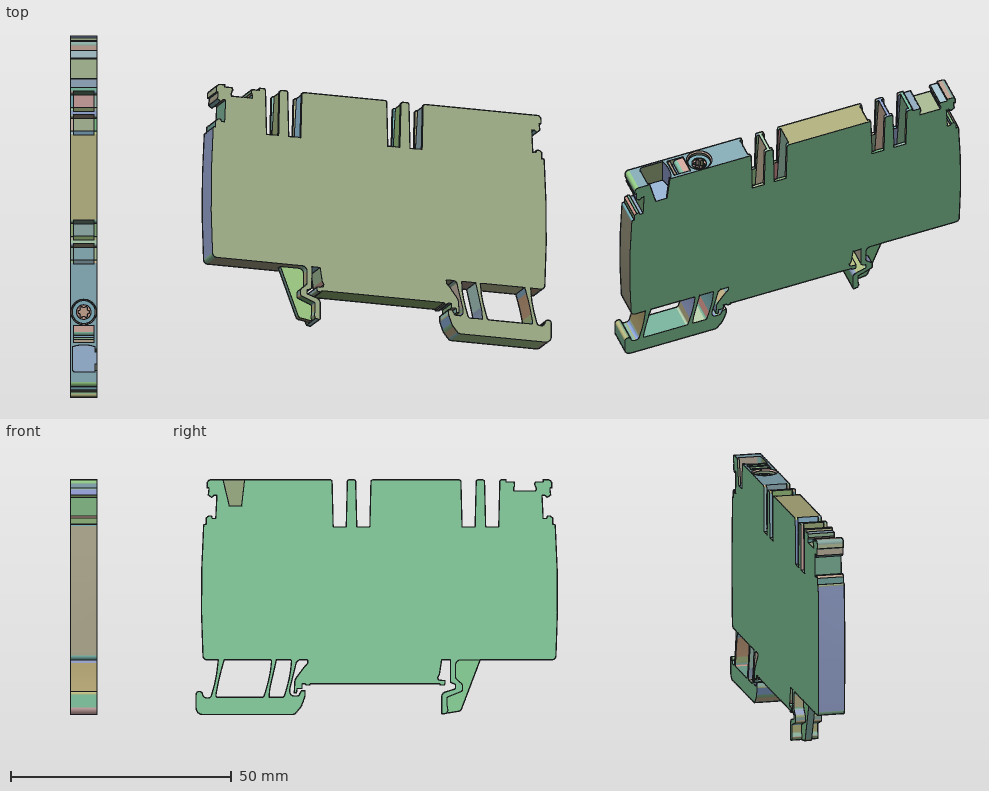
import cadquery as cq
import math


THICKNESS = 6.1
HEIGHT = 53.13
BOTTOM = 12.37
ROOT = 0.5

END_REACH = 40.3
END_BULGE_Z = 26.3
END_TOP = (39.8, 42.6)
END_FOOT = (39.95, 13.3)
PLATE_CORNER = 0.93
HOOK_ROUND = 0.9
STEP_Z = 43.0
STEP_Y = 39.2

SLOT_FLOOR = 42.47
FIRST_FIN_Y = 22.83
FIN_SPACING = 29.15
SLOT_OFFSET = 2.67
SLOT_FLOOR_WIDTH = 2.9
SLOT_TOP_WIDTH = 3.4
SLOT_LIP_RADIUS = 0.5
CHEEK = 0.69
POCKET_FLOOR = 37.0
POCKET_FLOOR_WIDTH = 2.75
POCKET_TOP_WIDTH = 4.6

SHELF_Z = HEIGHT - 0.5
GROOVE_FLOOR = HEIGHT - 2.5

LEVER_THICKNESS = 1.5

SCREW_Y = -22.19
SCREW_MOUTH_RADIUS = 2.9
SCREW_BORE_RADIUS = 2.6
SCREW_CONE_DEPTH = 0.4
SCREW_HEAD_DEPTH = 1.0
DRIVE_RIM_RADIUS = 1.65
DRIVE_RIM_DEPTH = 0.3
DRIVE_CORE_RADIUS = 1.0
DRIVE_LOBE_RADIUS = 0.35
DRIVE_LOBES = 6
DRIVE_DEPTH = 2.0

PUSHER_WIDTH = 4.65
PUSHER_Y = (-29.1, -25.2)
PUSHER_DEPTH = 0.3
PUSHER_ROUND_START = -26.75
PUSHER_ROUND_RADIUS = 0.75
PUSHER_TROUGH_FLOOR = HEIGHT - 1.5
PUSHER_TROUGH_WIDTH = 0.5
PUSHER_TROUGH_END = -28.35

ENTRY_HALF_WIDTH = 2.59
ENTRY_BACK = -35.8
ENTRY_SHOULDER = -30.05
ENTRY_CROWN = -29.6
ENTRY_DEPTH = 6.0
ENTRY_CORNER = 0.8
ENTRY_WINDOW_TOP = (-35.4, -30.5)
ENTRY_WINDOW_FLOOR = (-33.95, -31.2)


def rounded_outline(points):
    """Closed wire in the YZ plane through (y, z) or (y, z, corner radius) points."""
    ends = []
    count = len(points)
    for i in range(count):
        corner = cq.Vector(*points[i][:2])
        radius = points[i][2] if len(points[i]) == 3 else 0
        if not radius:
            ends.append((corner,))
            continue
        back = (cq.Vector(*points[i - 1][:2]) - corner).normalized()
        ahead = (cq.Vector(*points[(i + 1) % count][:2]) - corner).normalized()
        half_angle = back.getAngle(ahead) / 2
        reach = radius / math.tan(half_angle)
        middle = corner + (back + ahead).normalized() * (radius / math.sin(half_angle) - radius)
        ends.append((corner + back * reach, middle, corner + ahead * reach))
    sketch = cq.Workplane("YZ").moveTo(ends[0][-1].x, ends[0][-1].y)
    for corner in ends[1:] + ends[:1]:
        sketch = sketch.lineTo(corner[0].x, corner[0].y)
        if len(corner) == 3:
            sketch = sketch.threePointArc((corner[1].x, corner[1].y), (corner[2].x, corner[2].y))
    return sketch.close()


def slab(points, thickness=THICKNESS):
    """Plate with the given outline, centred through the thickness."""
    return rounded_outline(points).extrude(thickness / 2, both=True)




def half_plate():
    """The -Y half of the main plate, with its hook at the top corner."""
    hook_reach = 39.0
    hook = [
        (hook_reach, 51.3),
        (38.6, 51.3),
        (38.6, 50.9),
        (38.75, 49.7),
        (37.95, 49.1),
        (37.4, 49.6),
        (36.8, 49.6),
        (37.05, 44.4),
        (37.8, 44.4),
        (38.0, 44.95),
        (38.6, 44.95),
        (STEP_Y, 44.5),
        (STEP_Y, STEP_Z),
    ]
    outline = (
        cq.Workplane("YZ")
        .moveTo(0, BOTTOM)
        .lineTo(0, HEIGHT)
        .lineTo(HOOK_ROUND - hook_reach, HEIGHT)
        .radiusArc((-hook_reach, HEIGHT - HOOK_ROUND), -HOOK_ROUND)
    )
    for y, z in hook:
        outline = outline.lineTo(-y, z)
    return (
        outline.radiusArc((-END_TOP[0], END_TOP[1]), -(STEP_Z - END_TOP[1]))
        .threePointArc((-END_REACH, END_BULGE_Z), (-END_FOOT[0], END_FOOT[1]))
        .tangentArcPoint((PLATE_CORNER - END_FOOT[0], BOTTOM), relative=False)
        .close()
        .extrude(THICKNESS / 2, both=True)
    )


def marker_groove():
    """Shallow shelf with an undercut channel below it."""
    shelf_back = 28.65
    shelf_front = 37.0
    over = HEIGHT + 1
    return slab(
        [
            (shelf_front, over),
            (shelf_front, SHELF_Z),
            (35.25, SHELF_Z),
            (35.05, 52.1),
            (35.5, 51.1),
            (35.3, GROOVE_FLOOR),
            (30.4, GROOVE_FLOOR),
            (30.4, 51.4),
            (30.6, 51.8),
            (30.5, SHELF_Z),
            (shelf_back, SHELF_Z),
            (shelf_back, over),
        ]
    )


def plug_slot(y):
    """Drafted slot with rounded lips, widening into a pocket between its two cheeks."""
    floor_half = SLOT_FLOOR_WIDTH / 2
    top_half = SLOT_TOP_WIDTH / 2
    lip_half = top_half + SLOT_LIP_RADIUS
    lip_z = HEIGHT - SLOT_LIP_RADIUS
    arc_shift = SLOT_LIP_RADIUS * math.sqrt(0.5)
    slot = (
        cq.Workplane("YZ")
        .moveTo(-floor_half, SLOT_FLOOR)
        .lineTo(floor_half, SLOT_FLOOR)
        .lineTo(top_half, lip_z)
        .threePointArc((lip_half - arc_shift, lip_z + arc_shift), (lip_half, HEIGHT))
        .lineTo(-lip_half, HEIGHT)
        .threePointArc((arc_shift - lip_half, lip_z + arc_shift), (-top_half, lip_z))
        .close()
        .extrude(THICKNESS / 2, both=True)
    )
    pocket = slab(
        [
            (-POCKET_FLOOR_WIDTH / 2, POCKET_FLOOR),
            (POCKET_FLOOR_WIDTH / 2, POCKET_FLOOR),
            (POCKET_TOP_WIDTH / 2, HEIGHT),
            (-POCKET_TOP_WIDTH / 2, HEIGHT),
        ],
        THICKNESS - 2 * CHEEK,
    )
    return slot.union(pocket).translate((0, y, 0))




def screw_recess():
    """Countersunk bore over a flat screw head with a lobed drive."""
    top = cq.Workplane("XY").workplane(offset=HEIGHT)
    head_z = HEIGHT - SCREW_HEAD_DEPTH
    head = cq.Workplane("XY").workplane(offset=head_z)
    cone = cq.Workplane(
        cq.Solid.makeCone(
            SCREW_BORE_RADIUS,
            SCREW_MOUTH_RADIUS,
            SCREW_CONE_DEPTH,
            pnt=cq.Vector(0, 0, HEIGHT - SCREW_CONE_DEPTH),
        )
    )
    bore = top.circle(SCREW_BORE_RADIUS).extrude(-SCREW_HEAD_DEPTH)
    rim = head.circle(DRIVE_RIM_RADIUS).extrude(-DRIVE_RIM_DEPTH)
    core = head.circle(DRIVE_CORE_RADIUS).extrude(-DRIVE_DEPTH)
    lobes = (
        head.polarArray(DRIVE_CORE_RADIUS, 0, 360, DRIVE_LOBES)
        .circle(DRIVE_LOBE_RADIUS)
        .extrude(-DRIVE_DEPTH)
    )
    return cone.union(bore).union(rim).union(core).union(lobes).translate((0, SCREW_Y, 0))


def pusher_recess():
    """Shallow rectangular recess whose floor rolls over into a trough."""
    back, front = PUSHER_Y
    floor = HEIGHT - PUSHER_DEPTH
    shift = PUSHER_ROUND_RADIUS * math.sqrt(0.5)
    round_end = PUSHER_ROUND_START - PUSHER_ROUND_RADIUS
    return (
        cq.Workplane("YZ")
        .moveTo(front, HEIGHT)
        .lineTo(front, floor)
        .lineTo(PUSHER_ROUND_START, floor)
        .threePointArc(
            (PUSHER_ROUND_START - shift, floor - PUSHER_ROUND_RADIUS + shift),
            (round_end, floor - PUSHER_ROUND_RADIUS),
        )
        .lineTo(round_end, PUSHER_TROUGH_FLOOR)
        .lineTo(round_end - PUSHER_TROUGH_WIDTH, PUSHER_TROUGH_FLOOR)
        .lineTo(PUSHER_TROUGH_END, floor)
        .lineTo(back, floor)
        .lineTo(back, HEIGHT)
        .close()
        .extrude(PUSHER_WIDTH / 2, both=True)
    )


def wire_entry():
    """Deep pocket with an arched +Y end and a tapered window through the +X wall."""
    floor = HEIGHT - ENTRY_DEPTH
    half = ENTRY_HALF_WIDTH
    pocket = (
        cq.Workplane("XY")
        .workplane(offset=HEIGHT)
        .moveTo(half, ENTRY_BACK)
        .lineTo(half, ENTRY_SHOULDER)
        .threePointArc((0, ENTRY_CROWN), (-half, ENTRY_SHOULDER))
        .lineTo(-half, ENTRY_BACK + ENTRY_CORNER)
        .radiusArc((ENTRY_CORNER - half, ENTRY_BACK), -ENTRY_CORNER)
        .close()
        .extrude(-ENTRY_DEPTH)
    )
    window = (
        cq.Workplane("YZ")
        .polyline(
            [
                (ENTRY_WINDOW_TOP[0], HEIGHT),
                (ENTRY_WINDOW_TOP[1], HEIGHT),
                (ENTRY_WINDOW_FLOOR[1], floor),
                (ENTRY_WINDOW_FLOOR[0], floor),
            ]
        )
        .close()
        .extrude(THICKNESS / 2)
    )
    return pocket.union(window)




def rail_seat():
    """Middle block that rests on the rail, with a lip at its +Y end and a nose at its -Y end."""
    seat = 6.95
    pad = 6.65
    return slab(
        [
            (14.09, BOTTOM + ROOT),
            (14.09, BOTTOM),
            (13.6, 9.2),
            (13.2, 8.4),
            (13.35, 7.85),
            (14.83, 7.7),
            (14.83, pad, 0.4),
            (13.8, pad),
            (13.6, seat),
            (-15.65, seat),
            (-15.8, pad),
            (-16.6, pad),
            (-16.75, seat),
            (-17.5, seat),
            (-17.5, 5.9),
            (-18.6, 5.9),
            (-18.75, 4.9),
            (-19.3, 4.9),
            (-19.15, 7.9, 2.0),
            (-17.0, 10.8),
            (-16.25, 11.6, 0.4),
            (-16.25, BOTTOM, 0.2),
            (-16.6, BOTTOM),
            (-16.6, BOTTOM + ROOT),
        ]
    )


def rail_foot():
    """Fixed foot hung from the plate on three slanted struts."""
    deck = 3.95
    outline = slab(
        [
            (-18.1, BOTTOM + ROOT),
            (-18.1, BOTTOM),
            (-18.75, 11.95, 0.5),
            (-20.25, 5.9, 2.0),
            (-20.25, 4.25, 0.9),
            (-18.3, 4.25, 0.4),
            (-17.65, 5.4, 0.1),
            (-16.8, 5.4),
            (-16.8, 4.2, 1.0),
            (-17.65, 1.85, 2.5),
            (-19.2, 0, 1.0),
            (-41.5, 0, 1.5),
            (-41.5, 5.25, 0.74),
            (-40.0, 5.25, 0.74),
            (-40.0, 3.8, 0.9),
            (-38.2, 3.8, 0.7),
            (-36.85, 8.1, 32.0),
            (-36.5, BOTTOM),
            (-36.5, BOTTOM + ROOT),
        ]
    )
    narrow_window = slab(
        [
            (-19.9, BOTTOM, 0.3),
            (-20.1, 9.0, 26.0),
            (-21.6, deck, 0.5),
            (-24.9, deck),
            (-24.9, 5.4, 11.0),
            (-23.3, BOTTOM),
        ]
    )
    wide_window = slab(
        [
            (-24.4, BOTTOM, 0.3),
            (-24.7, 8.8, 29.0),
            (-26.2, deck, 0.5),
            (-36.95, deck, 0.3),
            (-36.95, 4.6, 1.0),
            (-36.2, 8.6, 50.0),
            (-35.1, BOTTOM),
        ]
    )
    return outline.cut(narrow_window).cut(wide_window)


LATCH_SEAM = [
    (17.22, BOTTOM, 1.2),
    (17.22, 8.2, 0.6),
    (18.8, 6.8, 0.8),
    (18.8, 5.35, 0.5),
    (15.3, 3.95, 0.3),
    (15.3, 2.0),
    (15.5, 1.0, 0.3),
    (15.2, 0.3),
]


def latch():
    """Springy latch arm hanging from the main plate, hooked at its lower end."""
    return slab(
        [(18.9, BOTTOM + ROOT), (18.9, BOTTOM)]
        + LATCH_SEAM
        + [
            (14.05, 0.05, 0.3),
            (14.05, 4.85, 1.2),
            (17.2, 5.85, 0.2),
            (17.2, 6.8, 0.2),
            (16.05, 7.3, 0.3),
            (16.05, BOTTOM + ROOT),
        ]
    )


def release_lever():
    """Wedge that fills the space behind the latch."""
    return slab([(18.4, 0.8, 0.9), (22.8, BOTTOM)] + LATCH_SEAM, LEVER_THICKNESS)




def build_housing():
    body = half_plate()
    body = body.union(body.mirror("XZ")).cut(marker_groove())
    for fin_y in (FIRST_FIN_Y, FIRST_FIN_Y - FIN_SPACING):
        for side in (1, -1):
            body = body.cut(plug_slot(fin_y + side * SLOT_OFFSET))
    for opening in (screw_recess(), pusher_recess(), wire_entry()):
        body = body.cut(opening)
    for lower_part in (rail_seat(), rail_foot(), latch()):
        body = body.union(lower_part)
    return body


housing = build_housing()
lever = release_lever()

result = cq.Compound.makeCompound([housing.solids().val(), lever.solids().val()])